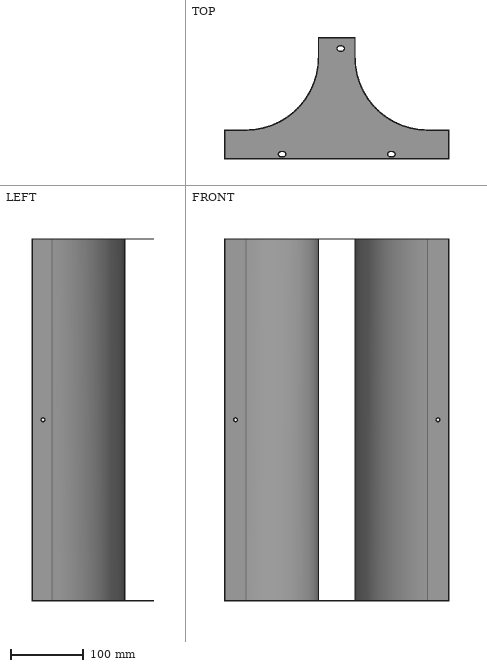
import cadquery as cq

width = 310.0
depth = 168.0
height = 501.0
sheet = 0.5

stem_width = 51.0
bar_depth = 40.0
bend_radius = 100.0

slot_length = 10.0
slot_diameter = 7.0
front_slot_x = 75.5
front_slot_inset = 6.5
rear_slot_x = 5.5
rear_slot_inset = 15.0
wall_hole_diameter = 5.0
wall_hole_inset = 15.0

front_y = -depth / 2
rear_y = depth / 2
shoulder_y = front_y + bar_depth


def profile(inset):
    """Closed T outline whose stem, fillets and shoulders are moved inward by inset."""
    side_x = width / 2
    stem_x = stem_width / 2 - inset
    shoulder = shoulder_y - inset
    radius = bend_radius + inset
    center_x = stem_width / 2 + bend_radius
    center_y = shoulder_y + bend_radius
    diagonal = radius * 0.5**0.5
    arc_x = center_x - diagonal
    arc_y = center_y - diagonal
    return (
        cq.Workplane("XY")
        .moveTo(-side_x, front_y)
        .lineTo(side_x, front_y)
        .lineTo(side_x, shoulder)
        .lineTo(center_x, shoulder)
        .threePointArc((arc_x, arc_y), (stem_x, center_y))
        .lineTo(stem_x, rear_y)
        .lineTo(-stem_x, rear_y)
        .lineTo(-stem_x, center_y)
        .threePointArc((-arc_x, arc_y), (-center_x, shoulder))
        .lineTo(-side_x, shoulder)
        .close()
    )


def slot_cutter():
    """Slots that pass through both end plates, inside the space between the walls."""
    centers = [
        (-front_slot_x, front_y + front_slot_inset),
        (front_slot_x, front_y + front_slot_inset),
        (rear_slot_x, rear_y - rear_slot_inset),
    ]
    return cq.Workplane("XY").pushPoints(centers).slot2D(slot_length, slot_diameter).extrude(height)


def wall_hole_cutter():
    """Round holes at mid height in the flat end strips of the walls."""
    strip_x = width / 2 - wall_hole_inset
    strip_y = rear_y - wall_hole_inset
    hole_radius = wall_hole_diameter / 2
    middle_z = height / 2
    cutter = cq.Workplane("YZ").center(strip_y, middle_z).circle(hole_radius).extrude(stem_width, both=True)
    for x in (-strip_x, strip_x):
        hole = cq.Workplane("XZ").center(x, middle_z).circle(hole_radius).extrude(depth, both=True)
        cutter = cutter.union(hole)
    return cutter


body = profile(0).extrude(height)
cavity = profile(sheet).extrude(height - 2 * sheet).translate((0, 0, sheet))
result = body.cut(cavity).cut(slot_cutter()).cut(wall_hole_cutter())